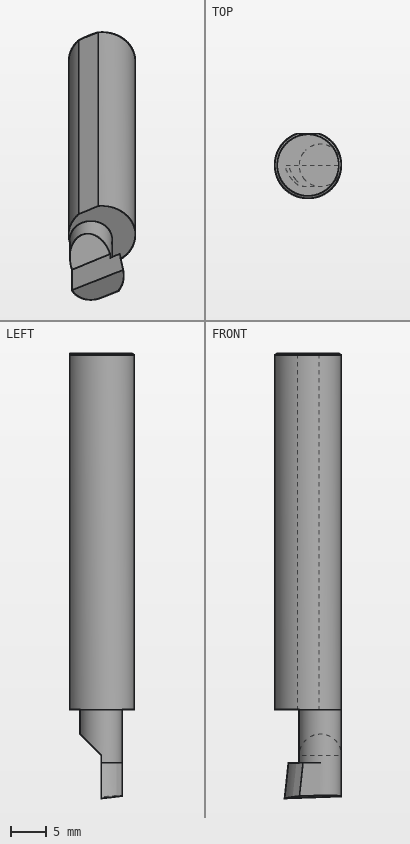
import cadquery as cq
import math

TOTAL_LENGTH = 63.49
NECK_LENGTH = 12.7
SHANK_LENGTH = TOTAL_LENGTH - NECK_LENGTH

SHANK_DIAMETER = 9.525
SHANK_RADIUS = SHANK_DIAMETER / 2
WIDTH_ACROSS_FLAT = 9.27
FLAT_Y = WIDTH_ACROSS_FLAT - SHANK_RADIUS
END_BEVEL_WIDTH = 0.38
END_BEVEL_HEIGHT = 0.25

NECK_RADIUS = 3.025
NECK_X = SHANK_RADIUS - NECK_RADIUS

RUNOUT_START_Z = 6.2
RUNOUT_ANGLE = 45.0

HEAD_HEIGHT = 5.08
TIP_X = -3.36
FLANK_LEAN = 6.2
RELIEF_WIDTH = 1.15
RELIEF_DEPTH = 2.2
RELIEF_RADIUS = 5.5
HEEL_WIDTH = 0.95

END_SLOPE_X = 2.0
END_SLOPE_Y = 5.5


def make_shank():
    shank = (
        cq.Workplane("XY", origin=(0, 0, NECK_LENGTH))
        .circle(SHANK_RADIUS)
        .extrude(SHANK_LENGTH)
        .faces(">Z")
        .chamfer(END_BEVEL_HEIGHT, END_BEVEL_WIDTH)
    )
    beyond_flat = (
        cq.Workplane("XY", origin=(0, FLAT_Y, NECK_LENGTH))
        .box(SHANK_DIAMETER, SHANK_RADIUS, SHANK_LENGTH, centered=(True, False, False))
    )
    return shank.cut(beyond_flat)


def make_neck():
    neck = cq.Workplane("XY").center(NECK_X, 0).circle(NECK_RADIUS).extrude(NECK_LENGTH)
    runout_rise = NECK_RADIUS * math.tan(math.radians(RUNOUT_ANGLE))
    relief = (
        cq.Workplane("YZ", origin=(NECK_X, 0, 0))
        .moveTo(0, 0)
        .lineTo(0, RUNOUT_START_Z)
        .lineTo(NECK_RADIUS, RUNOUT_START_Z + runout_rise)
        .lineTo(NECK_RADIUS, 0)
        .close()
        .extrude(NECK_RADIUS, both=True)
    )
    return neck.cut(relief)


def head_section(z):
    """Horizontal outline of the cutting head at height z."""
    edge_x = TIP_X + z * math.tan(math.radians(FLANK_LEAN))
    relief_end_x = edge_x + RELIEF_WIDTH
    return (
        cq.Workplane("XY", origin=(0, 0, z))
        .moveTo(NECK_X, 0)
        .lineTo(edge_x, 0)
        .radiusArc((relief_end_x, -RELIEF_DEPTH), -RELIEF_RADIUS)
        .lineTo(relief_end_x + HEEL_WIDTH, -NECK_RADIUS)
        .lineTo(NECK_X, -NECK_RADIUS)
        .close()
        .wire()
        .val()
    )


def make_head():
    sections = [head_section(0), head_section(HEAD_HEIGHT)]
    return cq.Workplane(cq.Solid.makeLoft(sections, ruled=True))


def make_end_clearance():
    """Block below the inclined end face, which passes through the tip."""
    block_width = 4 * SHANK_DIAMETER
    block_height = SHANK_DIAMETER
    return (
        cq.Workplane("XY")
        .box(block_width, block_width, block_height, centered=(True, True, False))
        .translate((0, 0, -block_height))
        .rotate((0, 0, 0), (1, 0, 0), -END_SLOPE_Y)
        .rotate((0, 0, 0), (0, 1, 0), -END_SLOPE_X)
        .translate((TIP_X, 0, 0))
    )


result = make_shank().union(make_neck()).union(make_head()).cut(make_end_clearance())